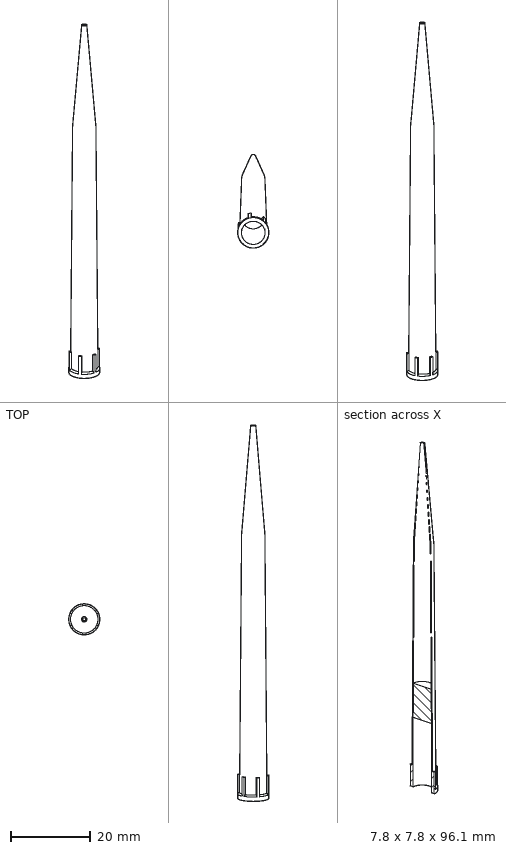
import cadquery as cq

total_height = 96.1
collar_height = 1.2
ledge_rise = 0.4
rib_top = 6.1
nose_start = 68.0

collar_radius = 3.9
barrel_base_radius = 3.5
nose_base_radius = 3.0
tip_radius = 0.7

wall = 0.5
tip_bore_radius = 0.4

filter_bottom = 19.2
filter_height = 9.6

rib_count = 6
rib_width = 0.8
first_rib_angle = 30.0


def make_outer_body():
    """Revolve the collar, gripping band, tapered barrel and nose cone."""
    return (
        cq.Workplane("XZ")
        .moveTo(0, 0)
        .lineTo(collar_radius, 0)
        .lineTo(collar_radius, collar_height)
        .lineTo(barrel_base_radius, collar_height + ledge_rise)
        .lineTo(barrel_base_radius, rib_top)
        .lineTo(nose_base_radius, nose_start)
        .lineTo(tip_radius, total_height)
        .lineTo(0, total_height)
        .close()
        .revolve(360, (0, 0, 0), (0, 1, 0))
    )


def make_ribs():
    """Radial ribs standing on the collar, flush with its outer face."""
    ribs = cq.Workplane("XY")
    for index in range(rib_count):
        angle = first_rib_angle + index * 360 / rib_count
        rib = (
            cq.Workplane("XY")
            .box(collar_radius, rib_width, rib_top, centered=(False, True, False))
            .rotate((0, 0, 0), (0, 0, 1), angle)
        )
        ribs = ribs.add(rib)
    ribs = ribs.combine()
    envelope = cq.Workplane("XY").circle(collar_radius).extrude(rib_top)
    return ribs.intersect(envelope)


def make_bore():
    """Through bore that follows the outside, leaving a thin wall."""
    return (
        cq.Workplane("XZ")
        .moveTo(0, 0)
        .lineTo(barrel_base_radius - wall, 0)
        .lineTo(barrel_base_radius - wall, rib_top)
        .lineTo(nose_base_radius - wall, nose_start)
        .lineTo(tip_bore_radius, total_height)
        .lineTo(0, total_height)
        .close()
        .revolve(360, (0, 0, 0), (0, 1, 0))
    )


def make_filter():
    """Plug filling the bore of the barrel between its two end heights."""
    band = (
        cq.Workplane("XY", origin=(0, 0, filter_bottom))
        .circle(collar_radius)
        .extrude(filter_height)
    )
    return make_bore().intersect(band)


filter_plug = make_filter()
tip_shell = make_outer_body().union(make_ribs()).cut(make_bore())

result = cq.Compound.makeCompound([tip_shell.val(), filter_plug.val()])